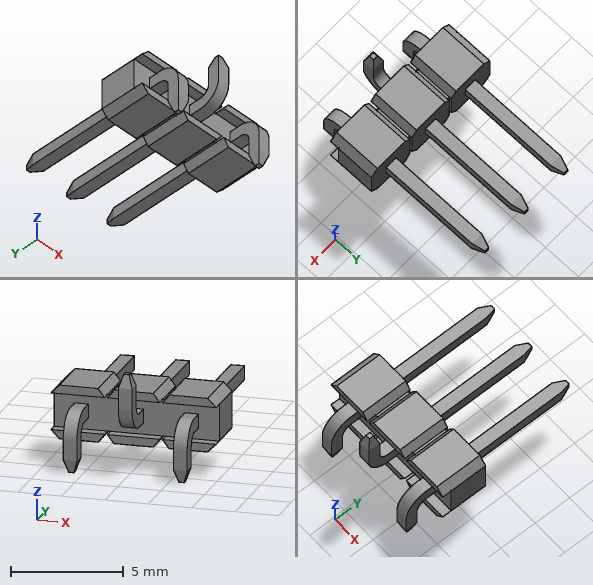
import cadquery as cq


total_width = 7.62
total_length = 9.65
total_height = 4.8
pin_count = 3
pitch = total_width / pin_count

housing_depth = 2.5
housing_height = 2.5
core_depth = 2.01
ledge_height = 0.4
core_height = housing_height - 2 * ledge_height
block_gap = 0.13
back_notch_depth = 0.13
end_bevel = ledge_height
gap_bevel = 0.3

pin_size = 0.64
pin_overhang = 1.31
bend_outer_radius = 1.15
bend_inner_radius = bend_outer_radius - pin_size
tip_length = 0.62
tip_size = 0.24

pin_front = -housing_depth - pin_overhang
pin_back = pin_front + total_length
leg_end = total_height / 2


def box(x_start, x_end, y_start, y_end, z_start, z_end):
    """Box between two limits along each axis."""
    size = (x_end - x_start, y_end - y_start, z_end - z_start)
    return cq.Workplane("XY").box(*size, centered=False).translate((x_start, y_start, z_start))


def make_core():
    """Full-width bar, notched at the back between neighbouring blocks."""
    half_height = core_height / 2
    core = box(-total_width / 2, total_width / 2, -core_depth, 0, -half_height, half_height)
    for index in range(1, pin_count):
        boundary = index * pitch - total_width / 2
        notch = box(
            boundary - block_gap / 2, boundary + block_gap / 2,
            -back_notch_depth, 0, -half_height, half_height,
        )
        core = core.cut(notch)
    return core


def make_ledge(index):
    """Bevelled upper ledge of one block, overhanging the front of the core."""
    is_first = index == 0
    is_last = index == pin_count - 1
    left = index * pitch - total_width / 2
    right = left + pitch
    if not is_first:
        left += block_gap / 2
    if not is_last:
        right -= block_gap / 2
    left_bevel = end_bevel if is_first else gap_bevel
    right_bevel = end_bevel if is_last else gap_bevel
    outline = [
        (left, core_height / 2),
        (right, core_height / 2),
        (right - right_bevel, housing_height / 2),
        (left + left_bevel, housing_height / 2),
    ]
    return cq.Workplane("XZ").polyline(outline).close().extrude(housing_depth)


def make_tip(origin, direction):
    """Tapered square pin end that starts at origin and narrows along direction."""
    plane = cq.Plane(origin=origin, xDir=(1, 0, 0), normal=direction)
    return (
        cq.Workplane(plane)
        .rect(pin_size, pin_size)
        .workplane(offset=tip_length)
        .rect(tip_size, tip_size)
        .loft(ruled=True)
    )


def make_pin():
    """Pin at X = 0 whose front leg bends down."""
    half = pin_size / 2
    bend_y = pin_front + bend_outer_radius
    bend_z = half - bend_outer_radius
    shank_end = pin_back - tip_length
    leg_start = tip_length - leg_end
    shaft = (
        cq.Workplane("YZ", origin=(-half, 0, 0))
        .moveTo(shank_end, half)
        .lineTo(bend_y, half)
        .radiusArc((pin_front, bend_z), -bend_outer_radius)
        .lineTo(pin_front, leg_start)
        .lineTo(pin_front + pin_size, leg_start)
        .lineTo(pin_front + pin_size, bend_z)
        .radiusArc((bend_y, -half), bend_inner_radius)
        .lineTo(shank_end, -half)
        .close()
        .extrude(pin_size)
    )
    back_tip = make_tip((0, shank_end, 0), (0, 1, 0))
    leg_tip = make_tip((0, pin_front + half, leg_start), (0, 0, -1))
    return shaft.union(back_tip).union(leg_tip)


result = make_core()
down_pin = make_pin()
up_pin = down_pin.mirror("XY")

for index in range(pin_count):
    ledge = make_ledge(index)
    result = result.union(ledge).union(ledge.mirror("XY"))
    pin = down_pin if index % 2 == 0 else up_pin
    pin_x = (index + 0.5) * pitch - total_width / 2
    result = result.union(pin.translate((pin_x, 0, 0)))